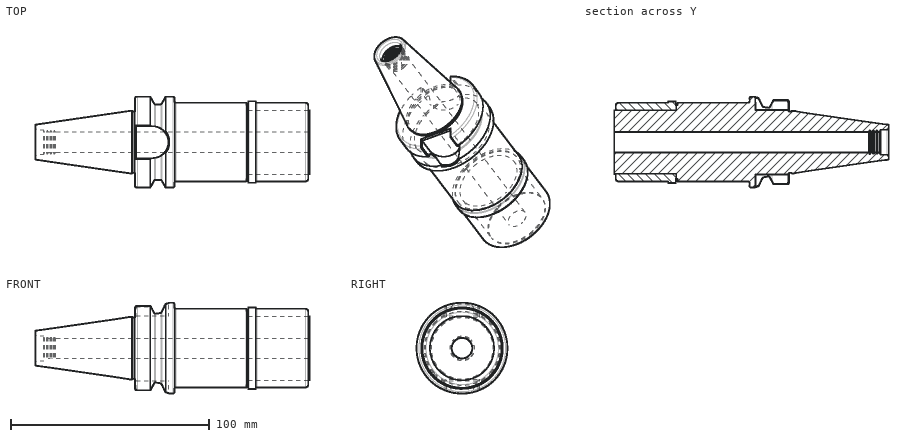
import cadquery as cq
import math

TOTAL_LENGTH = 138.4

TAPER_SLOPE = 7 / 48
TAPER_SMALL_RADIUS = 8.9
TAPER_LENGTH = 48.6
TAPER_TIP_FILLET = 0.5
taper_large_radius = TAPER_SMALL_RADIUS + TAPER_LENGTH * TAPER_SLOPE

RELIEF_START = 49.3
RELIEF_RADIUS = 15.5

FLANGE_RADIUS = 23.0
FLANGE_START = 50.2
FLANGE_END = 70.3
FLANGE_FILLET = 1.1
GROOVE_FLOOR_RADIUS = 19.1
GROOVE_FLOOR_START = 60.2
GROOVE_FLOOR_END = 63.5
GROOVE_FLANK_ANGLE = 30.0
GROOVE_FILLET = 0.5
groove_flank_length = (FLANGE_RADIUS - GROOVE_FLOOR_RADIUS) * math.tan(math.radians(GROOVE_FLANK_ANGLE))
groove_start = GROOVE_FLOOR_START - groove_flank_length
groove_end = GROOVE_FLOOR_END + groove_flank_length

SLOT_HALF_WIDTH = 8.0
SLOT_FLOOR_HEIGHT = 16.3
SLOT_END = 67.1
SLOT_EDGE_CHAMFER = 0.5
SLOT_FLOOR_CHAMFER = 0.7

BODY_RADIUS = 19.9
BODY_END = 106.5
BODY_ROOT_FILLET = 0.5
BODY_END_FILLET = 0.5
NECK_RADIUS = 18.7
SPIGOT_RADIUS = 16.2

NUT_START = 107.3
NUT_END = 137.7
NUT_RADIUS = BODY_RADIUS
NUT_FRONT_FILLET = 1.7
COLLAR_RADIUS = 20.6
COLLAR_END = 111.3
COLLAR_FILLET = 0.3
COLLAR_ROOT_FILLET = 0.3

BORE_RADIUS = 5.1
PILOT_RADIUS = 6.2
PILOT_DEPTH = 4.2
PILOT_MOUTH_FILLET = 1.1
THREAD_ROOT_RADIUS = 6.0
THREAD_PITCH = 1.8
THREAD_TURNS = 3
THREAD_FLANK_ANGLE = 30.0
thread_flank_length = (THREAD_ROOT_RADIUS - BORE_RADIUS) * math.tan(math.radians(THREAD_FLANK_ANGLE))

TOLERANCE = 0.001


def revolve_about_x(outline):
    """Revolve an (X, radius) outline about the X axis."""
    profile = cq.Workplane("XY").polyline(outline).close()
    return profile.revolve(360, (0, 0, 0), (1, 0, 0))


def circles_at(body, x, radius):
    """The circular edges about the X axis at one X position and radius."""
    def matches(edge):
        if edge.geomType() != "CIRCLE":
            return False
        return abs(edge.Center().x - x) < TOLERANCE and abs(edge.radius() - radius) < TOLERANCE

    return body.edges().filter(matches)


def fillet_circle(body, x, radius, fillet_radius):
    return circles_at(body, x, radius).fillet(fillet_radius)


def make_holder_blank():
    """The turned outside of the holder, without slots or bore."""
    blank = revolve_about_x([
        (0, 0),
        (0, TAPER_SMALL_RADIUS),
        (TAPER_LENGTH, taper_large_radius),
        (RELIEF_START, RELIEF_RADIUS),
        (FLANGE_START, RELIEF_RADIUS),
        (FLANGE_START, FLANGE_RADIUS),
        (groove_start, FLANGE_RADIUS),
        (GROOVE_FLOOR_START, GROOVE_FLOOR_RADIUS),
        (GROOVE_FLOOR_END, GROOVE_FLOOR_RADIUS),
        (groove_end, FLANGE_RADIUS),
        (FLANGE_END, FLANGE_RADIUS),
        (FLANGE_END, BODY_RADIUS),
        (BODY_END, BODY_RADIUS),
        (BODY_END, NECK_RADIUS),
        (NUT_START, NECK_RADIUS),
        (NUT_START, SPIGOT_RADIUS),
        (TOTAL_LENGTH, SPIGOT_RADIUS),
        (TOTAL_LENGTH, 0),
    ])
    blank = fillet_circle(blank, 0, TAPER_SMALL_RADIUS, TAPER_TIP_FILLET)
    blank = fillet_circle(blank, FLANGE_START, FLANGE_RADIUS, FLANGE_FILLET)
    blank = fillet_circle(blank, GROOVE_FLOOR_START, GROOVE_FLOOR_RADIUS, GROOVE_FILLET)
    blank = fillet_circle(blank, GROOVE_FLOOR_END, GROOVE_FLOOR_RADIUS, GROOVE_FILLET)
    blank = fillet_circle(blank, FLANGE_END, FLANGE_RADIUS, FLANGE_FILLET)
    blank = fillet_circle(blank, FLANGE_END, BODY_RADIUS, BODY_ROOT_FILLET)
    return fillet_circle(blank, BODY_END, BODY_RADIUS, BODY_END_FILLET)


def make_slot_cutter():
    """One round-ended drive slot on the +Z side, with a chamfered floor lip at the flange face."""
    arc_center = SLOT_END - SLOT_HALF_WIDTH
    slot = (
        cq.Workplane("XY", origin=(0, 0, SLOT_FLOOR_HEIGHT))
        .moveTo(TAPER_LENGTH, -SLOT_HALF_WIDTH)
        .lineTo(arc_center, -SLOT_HALF_WIDTH)
        .threePointArc((SLOT_END, 0), (arc_center, SLOT_HALF_WIDTH))
        .lineTo(TAPER_LENGTH, SLOT_HALF_WIDTH)
        .close()
        .extrude(FLANGE_RADIUS)
    )
    lip = (
        cq.Workplane("XZ")
        .moveTo(FLANGE_START, SLOT_FLOOR_HEIGHT)
        .lineTo(FLANGE_START, SLOT_FLOOR_HEIGHT - SLOT_FLOOR_CHAMFER)
        .lineTo(FLANGE_START + SLOT_FLOOR_CHAMFER, SLOT_FLOOR_HEIGHT)
        .close()
        .extrude(SLOT_HALF_WIDTH, both=True)
    )
    return slot.union(lip)


def chamfer_slot_rims(holder):
    """Break the slot edges along the flange face and the outer flange surface.

    The edges where a slot crosses the gripper groove stay sharp.
    """
    def on_rim(edge):
        middle = edge.positionAt(0.5)
        above_floor = abs(middle.z) > SLOT_FLOOR_HEIGHT + TOLERANCE
        between_walls = abs(middle.y) < SLOT_HALF_WIDTH + TOLERANCE
        on_front_land = FLANGE_START - TOLERANCE < middle.x < groove_start
        at_slot_tip = abs(middle.x - SLOT_END) < TOLERANCE
        on_wall = abs(abs(middle.y) - SLOT_HALF_WIDTH) < TOLERANCE
        return above_floor and between_walls and (at_slot_tip or on_wall and on_front_land)

    return holder.edges().filter(on_rim).chamfer(SLOT_EDGE_CHAMFER)


def make_bore_cutter():
    """The through bore, its pilot with a rounded mouth, and the ring grooves behind the pilot."""
    mouth_radius = PILOT_RADIUS + PILOT_MOUTH_FILLET
    mouth_offset = PILOT_MOUTH_FILLET * (1 - math.sqrt(0.5))
    outline = (
        cq.Workplane("XY")
        .moveTo(0, 0)
        .lineTo(0, mouth_radius)
        .threePointArc((mouth_offset, PILOT_RADIUS + mouth_offset), (PILOT_MOUTH_FILLET, PILOT_RADIUS))
        .lineTo(PILOT_DEPTH, PILOT_RADIUS)
        .lineTo(PILOT_DEPTH, THREAD_ROOT_RADIUS)
        .lineTo(PILOT_DEPTH + thread_flank_length, BORE_RADIUS)
    )
    for turn in range(1, THREAD_TURNS + 1):
        root = PILOT_DEPTH + turn * THREAD_PITCH
        outline = (
            outline.lineTo(root - thread_flank_length, BORE_RADIUS)
            .lineTo(root, THREAD_ROOT_RADIUS)
            .lineTo(root + thread_flank_length, BORE_RADIUS)
        )
    outline = outline.lineTo(TOTAL_LENGTH, BORE_RADIUS).lineTo(TOTAL_LENGTH, 0).close()
    return outline.revolve(360, (0, 0, 0), (1, 0, 0))


def make_holder():
    holder = make_holder_blank()
    for angle in (0, 180):
        holder = holder.cut(make_slot_cutter().rotate((0, 0, 0), (1, 0, 0), angle))
    holder = chamfer_slot_rims(holder)
    return holder.cut(make_bore_cutter())


def make_nut():
    """The clamping nut: a sleeve on the spigot, with a collar at the rear."""
    nut = revolve_about_x([
        (NUT_START, SPIGOT_RADIUS),
        (NUT_START, COLLAR_RADIUS),
        (COLLAR_END, COLLAR_RADIUS),
        (COLLAR_END, NUT_RADIUS),
        (NUT_END, NUT_RADIUS),
        (NUT_END, SPIGOT_RADIUS),
    ])
    nut = fillet_circle(nut, NUT_START, COLLAR_RADIUS, COLLAR_FILLET)
    nut = fillet_circle(nut, COLLAR_END, COLLAR_RADIUS, COLLAR_FILLET)
    nut = fillet_circle(nut, COLLAR_END, NUT_RADIUS, COLLAR_ROOT_FILLET)
    return fillet_circle(nut, NUT_END, NUT_RADIUS, NUT_FRONT_FILLET)


holder = make_holder()
nut = make_nut()
result = cq.Compound.makeCompound([holder.val(), nut.val()])